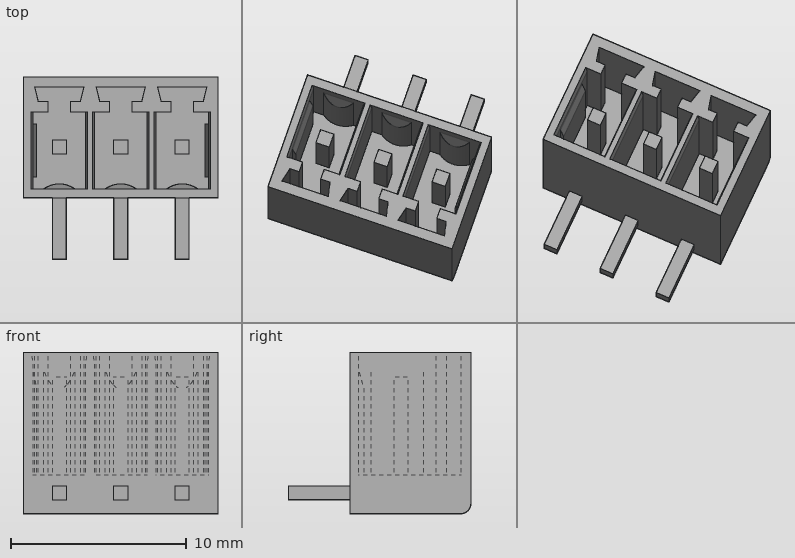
import cadquery as cq
import math

POLES = 3
PITCH = 3.5
END_MARGIN = 2.05
HOUSING_LENGTH = (POLES - 1) * PITCH + 2 * END_MARGIN
HOUSING_DEPTH = 6.9
HOUSING_HEIGHT = 9.2
BOTTOM_EDGE_RADIUS = 0.6

FLOOR_Z = 2.2
FRONT_WALL = 0.5
CHAMBER_WIDTH = 3.0
CHAMBER_BACK_Y = 4.9
LEAD_IN = 0.1
LEAD_IN_HEIGHT = 0.58

NECK_WIDTH = 1.3
DOVETAIL_FRONT_Y = 5.5
DOVETAIL_BACK_Y = 6.32
DOVETAIL_FRONT_WIDTH = 2.4
DOVETAIL_BACK_WIDTH = 2.8

WEDGE_PROJECTION = 0.2
WEDGE_FRONT_Y = 1.2
WEDGE_BACK_Y = 4.2
WEDGE_TOP_Z = 8.2
WEDGE_SLOPE_HEIGHT = 1.0

RIB_WIDTH = 1.8
RIB_PROJECTION = 0.3
RIB_TOP_Z = 8.2
RIB_SLOPE_ANGLE = 15.5

PIN_SIZE = 0.8
PIN_TIP_Z = 7.8
PIN_AXIS_Y = 2.9
TAIL_AXIS_Z = 1.2
TAIL_LENGTH = 3.5

pole_positions = [(i - (POLES - 1) / 2) * PITCH for i in range(POLES)]


def make_box(x_min, x_max, y_min, y_max, z_min, z_max):
    size = (x_max - x_min, y_max - y_min, z_max - z_min)
    return cq.Workplane("XY").box(*size, centered=False).translate((x_min, y_min, z_min))


def make_housing():
    half_length = HOUSING_LENGTH / 2
    body = make_box(-half_length, half_length, 0, HOUSING_DEPTH, 0, HOUSING_HEIGHT)
    return body.edges(">Y and <Z").fillet(BOTTOM_EDGE_RADIUS)


def make_chamber():
    """Straight chamber plus the lead-in that widens its sides towards the mouth."""
    half_width = CHAMBER_WIDTH / 2
    straight = make_box(-half_width, half_width, FRONT_WALL, CHAMBER_BACK_Y, FLOOR_Z, HOUSING_HEIGHT)
    shoulder_z = HOUSING_HEIGHT - LEAD_IN_HEIGHT
    mouth_half_width = half_width + LEAD_IN
    profile = [
        (-half_width, shoulder_z),
        (half_width, shoulder_z),
        (mouth_half_width, HOUSING_HEIGHT),
        (-mouth_half_width, HOUSING_HEIGHT),
    ]
    sketch = cq.Workplane("XZ", origin=(0, FRONT_WALL, 0)).polyline(profile).close()
    lead_in = sketch.extrude(FRONT_WALL - CHAMBER_BACK_Y)
    return straight.union(lead_in)


def make_keyway():
    """Neck and dovetail, running the full depth of the chamber."""
    half_neck = NECK_WIDTH / 2
    half_front = DOVETAIL_FRONT_WIDTH / 2
    half_back = DOVETAIL_BACK_WIDTH / 2
    outline = [
        (half_neck, CHAMBER_BACK_Y),
        (half_neck, DOVETAIL_FRONT_Y),
        (half_front, DOVETAIL_FRONT_Y),
        (half_back, DOVETAIL_BACK_Y),
        (-half_back, DOVETAIL_BACK_Y),
        (-half_front, DOVETAIL_FRONT_Y),
        (-half_neck, DOVETAIL_FRONT_Y),
        (-half_neck, CHAMBER_BACK_Y),
    ]
    sketch = cq.Workplane("XY", origin=(0, 0, FLOOR_Z)).polyline(outline).close()
    return sketch.extrude(HOUSING_HEIGHT - FLOOR_Z)


def make_rib():
    """Segment-shaped rib rising from the floor, its top sloping down into the chamber."""
    half_width = RIB_WIDTH / 2
    rib = (
        cq.Workplane("XY", origin=(0, 0, FLOOR_Z))
        .moveTo(-half_width, FRONT_WALL)
        .threePointArc((0, FRONT_WALL + RIB_PROJECTION), (half_width, FRONT_WALL))
        .lineTo(half_width, 0)
        .lineTo(-half_width, 0)
        .close()
        .extrude(RIB_TOP_Z - FLOOR_Z)
    )
    slope_drop = RIB_PROJECTION / math.tan(math.radians(RIB_SLOPE_ANGLE))
    slope_cut = (
        cq.Workplane("YZ")
        .moveTo(FRONT_WALL, RIB_TOP_Z)
        .lineTo(FRONT_WALL + RIB_PROJECTION, RIB_TOP_Z)
        .lineTo(FRONT_WALL + RIB_PROJECTION, RIB_TOP_Z - slope_drop)
        .close()
        .extrude(half_width, both=True)
    )
    return rib.cut(slope_cut)


def make_end_wedge(side):
    """Wedge-topped rib on the end wall, standing on the floor; side is -1 or 1 along X."""
    wall_x = side * (pole_positions[-1] + CHAMBER_WIDTH / 2)
    tip_x = wall_x - side * WEDGE_PROJECTION
    profile = [
        (wall_x, WEDGE_TOP_Z),
        (tip_x, WEDGE_TOP_Z - WEDGE_SLOPE_HEIGHT),
        (tip_x, FLOOR_Z),
        (wall_x, FLOOR_Z),
    ]
    wedge = cq.Workplane("XZ").polyline(profile).close().extrude(WEDGE_FRONT_Y - WEDGE_BACK_Y)
    return wedge.translate((0, WEDGE_FRONT_Y, 0))


def make_pin():
    """Contact pin standing in the chamber with a tail leaving through the front face."""
    half = PIN_SIZE / 2
    tail_bottom_z = TAIL_AXIS_Z - half
    back_y = PIN_AXIS_Y + half
    post = make_box(-half, half, PIN_AXIS_Y - half, back_y, tail_bottom_z, PIN_TIP_Z)
    tail = make_box(-half, half, -TAIL_LENGTH, back_y, tail_bottom_z, TAIL_AXIS_Z + half)
    return post.union(tail)


result = make_housing()
for pole_x in pole_positions:
    position = (pole_x, 0, 0)
    result = result.cut(make_chamber().union(make_keyway()).translate(position))
    result = result.union(make_rib().translate(position))
    result = result.union(make_pin().translate(position))
for end_side in (-1, 1):
    result = result.union(make_end_wedge(end_side))